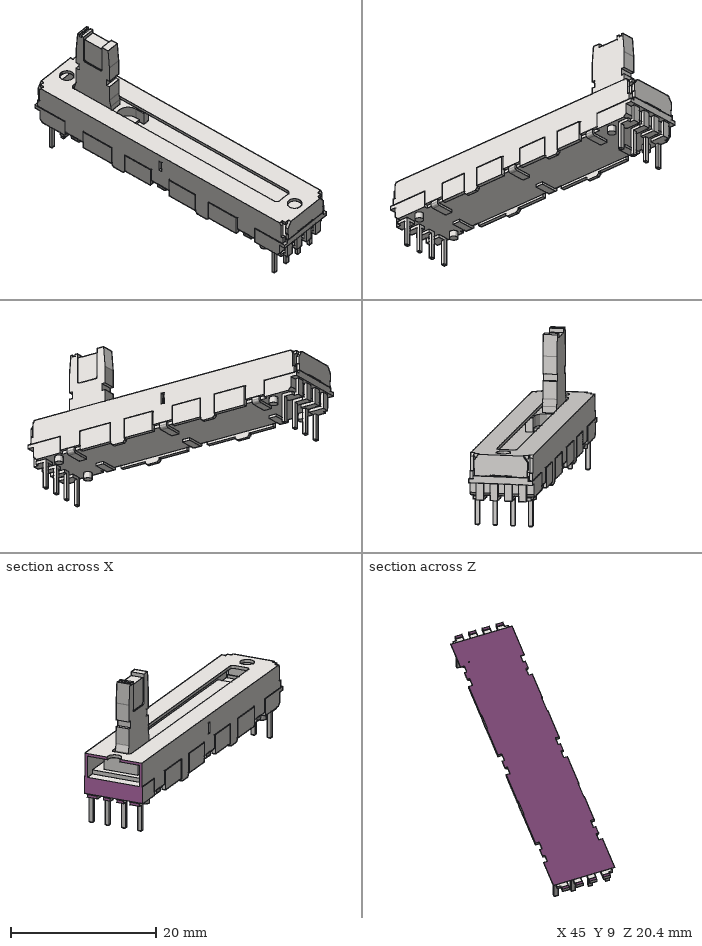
import cadquery as cq


length = 45.0
cover_width = 8.8
sheet = 0.45
half_length = length / 2
half_cover = cover_width / 2
half_inside = half_cover - sheet
side_wall_end = 22.08
side_wall_upper_end = 21.76
side_wall_step_z = -2.45
top_corner_x = 21.5
corner_chamfer = 0.4

flap_bottom = -3.0
flap_half_width = 3.8
flap_lower_half_width = 3.7
flap_shoulder_z = -2.03
flap_chamfer_width = 0.65
flap_chamfer_bottom = -0.93
flap_relief_half_width = 1.5
flap_relief_height = 0.12

slot_length = 37.1
slot_width = 2.85
slot_corner = 0.5
mount_hole_diameter = 2.0
mount_hole_x = 20.5
window_width = 0.5
window_top = -1.15
window_bottom = -2.75

base_width = 9.0
half_base = base_width / 2
rim_top = -3.5
rim_bottom = -4.06
end_rail_half_width = 3.85
end_rail_top = -3.06
base_bottom = -6.0
base_half_length = 21.6
base_end_chamfer = 0.45
lip_bottom = -6.37
tab_gap = 0.13

mid_leg_half = 1.57
long_leg_inner = 6.37
long_leg_outer = 8.7
end_leg_width = 3.2
front_end_leg_x = 15.5
back_end_leg_x = 14.5
short_leg_bottom = -5.54
long_leg_bottom = -6.92
long_leg_chamfer = 0.3
crimp_width = 1.2
crimp_inner_y = 1.3
crimp_setback = 0.1

peg_diameter = 1.2
peg_x = 18.0
peg_y = 3.5
peg_bottom = long_leg_bottom

floor_half_length = 19.4
floor_top = -2.9
carrier_top = -0.9
carrier_start_x = -18.5
carrier_half_width = 2.6
carrier_arm_end_x = -8.0
scoop_x = -11.05
scoop_radius = 1.6
scoop_floor_z = -2.5
scoop_floor_end_x = -8.79
stop_inner_x = -21.26
stop_top = -1.1

lever_x = -15.0
lever_top = 10.0
lever_thickness = 2.0
lever_width = 6.0
lever_tip_width = 5.5
lever_root_width = 6.5
lever_root_height = 1.0
taper_start_z = 7.0
notch_bottom = 3.5
notch_top = 4.5
notch_depth = 0.5
key_left = lever_x - 1.65
key_right = lever_x + 1.65
key_bottom = 5.55
key_top = 9.45
key_recess = 0.2
key_corner = 0.3
groove_left = lever_x - 2.48
groove_width = 0.42
groove_depth = 0.28

terminal_sheet = 0.45
terminal_outer_x = 22.2
terminal_width = 1.05
terminal_foot_bottom = -6.5
pin_outer_x = 20.25
jog_outer_x = 21.5
pin_width = 0.6
pin_bottom = -10.4
pin_tip_chamfer = 0.15
terminal_ys = (1.0, 3.0)
pin_ys = (1.25, 3.75)


def block(x0, x1, y0, y1, z0, z1):
    """Box between two opposite corners."""
    return cq.Workplane("XY").box(x1 - x0, y1 - y0, z1 - z0, centered=False).translate((x0, y0, z0))


def side_plate(points, y0, y1):
    """Plate with an outline in X and Z, reaching from y0 to y1."""
    return cq.Workplane("XZ").polyline(points).close().extrude(y0 - y1).translate((0, y0, 0))


def end_plate(points, x0, x1):
    """Plate with an outline in Y and Z, reaching from x0 to x1."""
    return cq.Workplane("YZ").polyline(points).close().extrude(x1 - x0).translate((x0, 0, 0))


def both_ends(shape):
    """Shape joined with its mirror image at the other X end."""
    return shape.union(shape.mirror("YZ"))


def both_sides(shape):
    """Shape joined with its mirror image on the other Y side."""
    return shape.union(shape.mirror("XZ"))


def make_cover():
    top_sheet = block(-top_corner_x, top_corner_x, -half_cover, half_cover, -sheet, 0)
    flap_seat_x = half_length - sheet
    flap_seat = block(-flap_seat_x, flap_seat_x, -flap_half_width, flap_half_width, -sheet, 0)
    flap_top_half = flap_half_width - flap_chamfer_width

    wall_half_outline = [
        (top_corner_x, 0),
        (side_wall_upper_end, -corner_chamfer),
        (side_wall_upper_end, side_wall_step_z),
        (side_wall_end, side_wall_step_z),
        (side_wall_end, rim_top),
    ]
    wall_outline = wall_half_outline + [(-x, z) for x, z in reversed(wall_half_outline)]
    walls = both_sides(side_plate(wall_outline, half_inside, half_cover))

    flap_half_outline = [
        (flap_top_half, 0),
        (flap_half_width, flap_chamfer_bottom),
        (flap_half_width, flap_shoulder_z),
        (flap_lower_half_width, flap_shoulder_z),
        (flap_lower_half_width, flap_bottom),
        (flap_relief_half_width, flap_bottom),
        (flap_relief_half_width, flap_bottom + flap_relief_height),
    ]
    flap_outline = flap_half_outline + [(-y, z) for y, z in reversed(flap_half_outline)]
    flaps = both_ends(end_plate(flap_outline, flap_seat_x, half_length))
    return top_sheet.union(flap_seat).union(walls).union(flaps)


def cut_cover_openings(cover):
    slot = (
        block(-slot_length / 2, slot_length / 2, -slot_width / 2, slot_width / 2, -sheet, 0)
        .edges("|Z")
        .fillet(slot_corner)
    )
    holes = (
        cq.Workplane("XY")
        .pushPoints([(-mount_hole_x, 0), (mount_hole_x, 0)])
        .circle(mount_hole_diameter / 2)
        .extrude(-sheet)
    )
    window = block(
        -window_width / 2, window_width / 2, -half_cover, -half_inside, window_bottom, window_top
    )
    return cover.cut(slot).cut(holes).cut(window)


def leg_spans(end_leg_x):
    """X ranges of the three short legs of one side."""
    half = end_leg_width / 2
    return [
        (-end_leg_x - half, -end_leg_x + half),
        (-mid_leg_half, mid_leg_half),
        (end_leg_x - half, end_leg_x + half),
    ]


def make_legs(end_leg_x):
    """Short crimped legs and long locating legs along the -Y wall."""
    legs = cq.Workplane("XY")
    for x0, x1 in leg_spans(end_leg_x):
        legs = legs.add(block(x0, x1, -half_cover, -half_inside, short_leg_bottom, rim_top))
        middle = (x0 + x1) / 2
        crimp = block(
            middle - crimp_width / 2,
            middle + crimp_width / 2,
            crimp_setback - half_cover,
            -crimp_inner_y,
            lip_bottom,
            short_leg_bottom,
        )
        legs = legs.add(crimp.edges("|X and <Y and <Z").fillet(sheet))
    long_leg = block(
        long_leg_inner, long_leg_outer, -half_cover, -half_inside, long_leg_bottom, rim_top
    )
    long_leg = long_leg.edges("|Y and <Z").chamfer(long_leg_chamfer)
    return legs.add(both_ends(long_leg)).combine()


def make_tabs(end_leg_x):
    """Tabs of the base that stand out between the legs of the -Y wall."""
    half = end_leg_width / 2
    inner_start_x = mid_leg_half + tab_gap
    outer_end_x = end_leg_x - half - tab_gap
    inner = block(inner_start_x, long_leg_inner, -half_base, -half_inside, lip_bottom, rim_top)
    outer = block(long_leg_outer, outer_end_x, -half_base, -half_inside, lip_bottom, rim_top)
    end = block(
        end_leg_x + half, base_half_length, -half_base, -half_inside, base_bottom, rim_top
    )
    end = end.edges("|Y and >X and <Z").chamfer(base_end_chamfer)
    rim = block(end_leg_x + half, half_length, -half_base, -half_inside, rim_bottom, rim_top)
    return both_ends(inner.union(outer).union(end).union(rim))


def make_base():
    body = block(
        -base_half_length, base_half_length, -half_inside, half_inside, base_bottom, rim_top
    )
    body = body.edges("|Y and <Z").chamfer(base_end_chamfer)
    rim = block(-half_length, half_length, -half_inside, half_inside, rim_bottom, rim_top)
    end_rail = block(
        half_length - sheet, half_length, -end_rail_half_width, end_rail_half_width,
        rim_top, end_rail_top,
    )
    pegs = (
        cq.Workplane("XY", origin=(0, 0, base_bottom))
        .rect(2 * peg_x, 2 * peg_y, forConstruction=True)
        .vertices()
        .circle(peg_diameter / 2)
        .extrude(peg_bottom - base_bottom)
    )
    return body.union(rim).union(both_ends(end_rail)).union(pegs)


def make_inside():
    """Floor, stop at the -X end, and carrier whose +X end is scooped out between two arms."""
    floor = block(
        -floor_half_length, floor_half_length, -half_inside, half_inside, rim_top, floor_top
    )
    stop = block(-side_wall_end, stop_inner_x, -half_inside, half_inside, rim_top, stop_top)
    carrier = block(
        carrier_start_x, carrier_arm_end_x, -carrier_half_width, carrier_half_width,
        floor_top, carrier_top,
    )
    scoop_center_x = scoop_x + scoop_radius
    scoop = (
        cq.Workplane("XY", origin=(scoop_center_x, 0, scoop_floor_z))
        .circle(scoop_radius)
        .extrude(carrier_top - scoop_floor_z)
    )
    scoop_mouth = block(
        scoop_center_x, carrier_arm_end_x, -scoop_radius, scoop_radius, scoop_floor_z, carrier_top
    )
    floor_step = block(
        scoop_floor_end_x, carrier_arm_end_x, -scoop_radius, scoop_radius, floor_top, scoop_floor_z
    )
    carrier = carrier.cut(scoop).cut(scoop_mouth).cut(floor_step)
    return floor.union(stop).union(carrier)


def make_lever():
    half_profile = [
        (lever_root_width / 2, carrier_top),
        (lever_root_width / 2, 0),
        (lever_width / 2, lever_root_height),
        (lever_width / 2, notch_bottom),
        (lever_width / 2 - notch_depth, notch_bottom),
        (lever_width / 2 - notch_depth, notch_top),
        (lever_width / 2, notch_top),
        (lever_width / 2, taper_start_z),
        (lever_tip_width / 2, lever_top),
    ]
    profile = [(lever_x + x, z) for x, z in half_profile]
    profile += [(lever_x - x, z) for x, z in reversed(half_profile)]
    half_thickness = lever_thickness / 2
    lever = side_plate(profile, -half_thickness, half_thickness)

    gap = block(key_left, key_right, -half_thickness, half_thickness, key_top, lever_top)
    recess = block(
        key_left, key_right, -half_thickness, key_recess - half_thickness, key_bottom, lever_top
    )
    recess = recess.edges("|Y and <Z").fillet(key_corner)
    groove = block(
        groove_left, groove_left + groove_width, -half_thickness, half_thickness,
        lever_top - groove_depth, lever_top,
    )
    return lever.cut(gap).cut(recess).cut(groove)


def make_terminal(strip_y, pin_y):
    """Bent terminal at the +X end: strip, foot under the base, sideways jog and narrow pin."""
    strip_y0 = strip_y - terminal_width / 2
    strip_y1 = strip_y + terminal_width / 2
    pin_y0 = pin_y - pin_width / 2
    pin_y1 = pin_y + pin_width / 2
    strip_inner_x = terminal_outer_x - terminal_sheet
    pin_inner_x = pin_outer_x - terminal_sheet
    foot_top = terminal_foot_bottom + terminal_sheet

    strip = block(
        strip_inner_x, terminal_outer_x, strip_y0, strip_y1, terminal_foot_bottom, rim_bottom
    )
    foot = block(
        pin_inner_x, terminal_outer_x, strip_y0, strip_y1, terminal_foot_bottom, foot_top
    )
    jog = block(pin_inner_x, jog_outer_x, pin_y0, pin_y1, terminal_foot_bottom, foot_top)
    pin = block(pin_inner_x, pin_outer_x, pin_y0, pin_y1, pin_bottom, foot_top)
    pin = pin.edges("<Z").chamfer(pin_tip_chamfer)
    return strip.union(foot).union(jog).union(pin)


def make_terminals():
    terminals = cq.Workplane("XY")
    for strip_y, pin_y in zip(terminal_ys, pin_ys):
        terminals = terminals.add(both_sides(both_ends(make_terminal(strip_y, pin_y))))
    return terminals.combine()


back_tabs = make_tabs(back_end_leg_x).mirror("XZ")
back_legs = make_legs(back_end_leg_x).mirror("XZ")

result = (
    cut_cover_openings(make_cover())
    .union(make_base())
    .union(make_tabs(front_end_leg_x))
    .union(back_tabs)
    .union(make_legs(front_end_leg_x))
    .union(back_legs)
    .union(make_inside())
    .union(make_lever())
    .union(make_terminals())
)